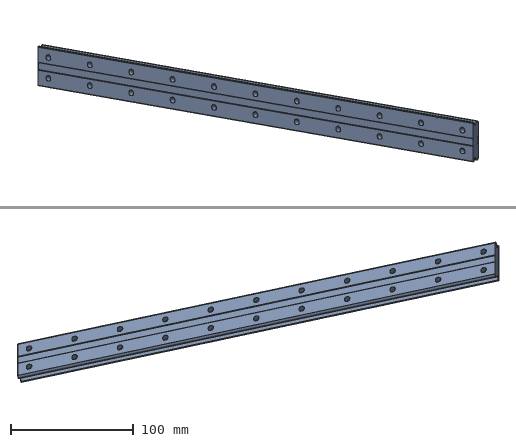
import cadquery as cq
import math

length = 420.0
thickness = 9.0
height = 33.0

channel_depth = 2.5
front_lip = 1.5
front_wall_run = 1.3
front_bevel = 0.5

flank_angle = math.radians(45)
crest_radius = 1.05
crest_inset = 2.0

relief_width = 6.7
relief_depth = 0.5

hole_count = 11
hole_diameter = 4.5
end_margin = 10.0
row_spacing = 17.5
hole_pitch = (length - 2 * end_margin) / (hole_count - 1)


def upper_outline():
    """Upper half of the cross-section, drawn in Y and Z from the front face to the back face."""
    front = -thickness / 2
    back = thickness / 2
    top = height / 2
    floor = top - channel_depth
    relief_edge = relief_width / 2

    crest_y = back - crest_inset
    crest_half_width = crest_radius * math.sin(flank_angle)
    crest_end = top - crest_radius * (1 - math.cos(flank_angle))
    inner_flank_end = crest_y - crest_half_width
    outer_flank_end = crest_y + crest_half_width

    return (
        cq.Workplane("YZ", origin=(-length / 2, 0, 0))
        .moveTo(front + relief_depth, 0)
        .lineTo(front + relief_depth, relief_edge - relief_depth)
        .lineTo(front, relief_edge)
        .lineTo(front, top - front_bevel)
        .lineTo(front + front_bevel, top)
        .lineTo(front + front_lip, top)
        .lineTo(front + front_lip + front_wall_run, floor)
        .lineTo(inner_flank_end - (crest_end - floor) / math.tan(flank_angle), floor)
        .lineTo(inner_flank_end, crest_end)
        .threePointArc((crest_y, top), (outer_flank_end, crest_end))
        .lineTo(back, crest_end - (back - outer_flank_end) * math.tan(flank_angle))
        .lineTo(back, relief_edge)
        .lineTo(back - relief_depth, relief_edge - relief_depth)
        .lineTo(back - relief_depth, 0)
        .close()
    )


def strip():
    """Full-length strip, symmetric above and below its middle."""
    upper_half = upper_outline().extrude(length)
    return upper_half.union(upper_half.mirror("XY")).clean()


def holes():
    """Evenly spaced round cutters in two rows through the thickness."""
    return (
        cq.Workplane("XZ")
        .rarray(hole_pitch, row_spacing, hole_count, 2)
        .circle(hole_diameter / 2)
        .extrude(thickness, both=True)
    )


result = strip().cut(holes())